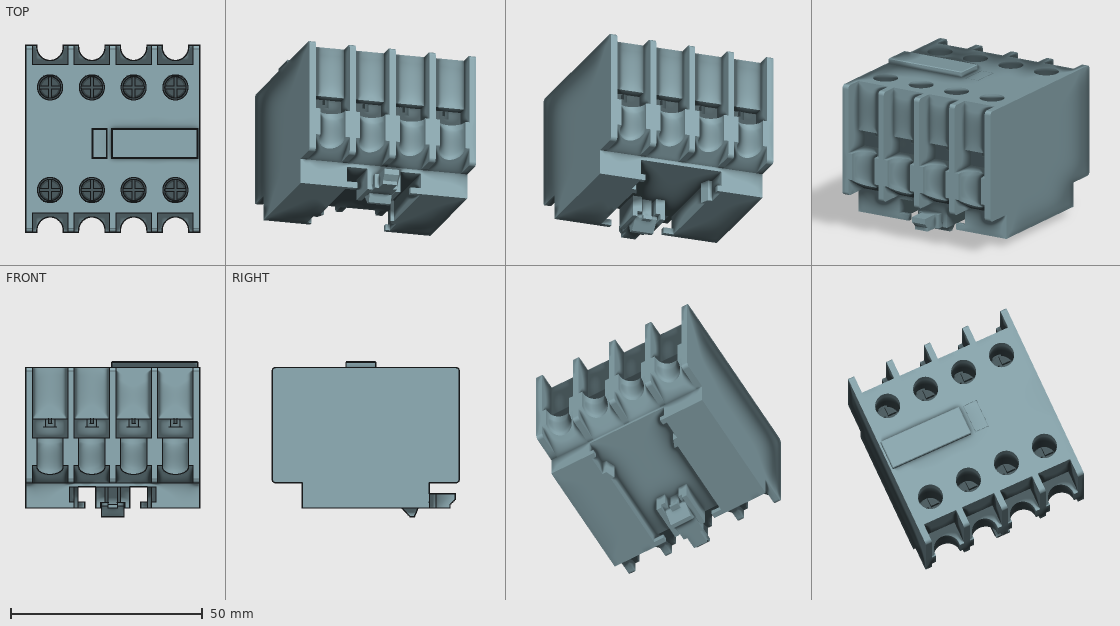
import cadquery as cq


WIDTH = 45.4
LENGTH = 48.8
BODY_BOTTOM = 6.6
BODY_TOP = 36.65
CORNER_RADIUS = 1.0
BASE_LENGTH = 33.1
FRONT = -LENGTH / 2
BASE_FRONT = -BASE_LENGTH / 2
BASE_BACK = BASE_LENGTH / 2

BAY_COUNT = 4
BAY_PITCH = 10.9
BAY_WIDTH = 9.2
BAY_DEPTH = 5.05
BAY_FLOOR = 18.25
CLAMP_DEPTH = 8.0
CLAMP_TOP = 23.3
SILL_BOTTOM = 11.1
WIRE_RADIUS = 3.4
WIRE_DEPTH = 4.0

SCREW_INSET = 11.05
WELL_RADIUS = 3.25
WELL_FLOOR = 21.2
SCREW_RADIUS = 2.8
SCREW_TOP = 23.9
SCREW_EDGE = 0.4
SLOT_WIDTH = 0.8
SLOT_FLOOR = 22.05

LABEL_LEFT = -0.3
LABEL_LENGTH = 22.45
LABEL_TOP = 38.15
LABEL_EDGE = 0.2
PANEL_WIDTH = 7.75
PANEL_Y = -1.25
INDICATOR_LEFT = -5.35
INDICATOR_LENGTH = 3.9
GROOVE = 0.2

CHANNEL_TOP = 5.55
LIP_TOP = 1.6
LIP_THICKNESS = 1.4
FRONT_HALF = 11.2
REAR_HALF = 10.05
THROAT_HALF = 9.05
REAR_LIP_HALF = 7.25
STEP_Y = -9.75
TAPER_LENGTH = 2.45

GUIDE_HALF = 4.5
GUIDE_FRONT = 6.85
NARROW_HALF = 2.0
NARROW_END = 11.7
WIDE_HALF = 3.15
WIDE_TOP = 1.4

BAR_HALF = 3.0
HOOK_BOTTOM = -2.25
HOOK_SHOULDER = 0.6
HOOK_FRONT = 8.85
HOOK_TIP_FRONT = 11.55
HOOK_TIP_BACK = 12.7
HOOK_BACK = 13.6
TONGUE_HALF = 1.2
TONGUE_FRONT = 8.3
NOSE_FRONT = 7.8
NOSE_TOP = 1.0
HANDLE_HALF = 1.95
HANDLE_TOP = 3.75
HANDLE_FRONT = 18.35
HANDLE_BACK = 23.38
HANDLE_TOE = 21.95
HANDLE_NOSE_BOTTOM = 2.3
HANDLE_TOE_TOP = 0.95


def box(x_min, x_max, y_min, y_max, z_min, z_max):
    size = (x_max - x_min, y_max - y_min, z_max - z_min)
    return cq.Workplane("XY").box(*size, centered=False).translate((x_min, y_min, z_min))


def side_prism(points, half_width):
    """Extrude a (y, z) outline symmetrically about the X centre plane."""
    return cq.Workplane("YZ").polyline(points).close().extrude(half_width, both=True)


def make_block():
    body = box(-WIDTH / 2, WIDTH / 2, FRONT, -FRONT, BODY_BOTTOM, BODY_TOP)
    body = body.edges("|X").fillet(CORNER_RADIUS)
    return body.union(box(-WIDTH / 2, WIDTH / 2, BASE_FRONT, BASE_BACK, 0, BODY_BOTTOM + CORNER_RADIUS))


def make_bay_cut():
    """Everything removed for one front terminal, centred on x = 0."""
    half = BAY_WIDTH / 2
    bay = box(-half, half, FRONT, FRONT + BAY_DEPTH, BAY_FLOOR, BODY_TOP)
    clamp = box(-half, half, FRONT, FRONT + CLAMP_DEPTH, BAY_FLOOR, CLAMP_TOP)
    underside = side_prism(
        [(FRONT, BODY_BOTTOM), (BASE_FRONT, BODY_BOTTOM), (FRONT, SILL_BOTTOM)], half
    )
    wire_centre = FRONT + WIRE_DEPTH - WIRE_RADIUS
    wire = (
        cq.Workplane("XY", origin=(0, 0, BODY_BOTTOM))
        .moveTo(-WIRE_RADIUS, FRONT)
        .lineTo(-WIRE_RADIUS, wire_centre)
        .threePointArc((0, FRONT + WIRE_DEPTH), (WIRE_RADIUS, wire_centre))
        .lineTo(WIRE_RADIUS, FRONT)
        .close()
        .extrude(BAY_FLOOR - BODY_BOTTOM)
    )
    well = (
        cq.Workplane("XY", origin=(0, FRONT + SCREW_INSET, WELL_FLOOR))
        .circle(WELL_RADIUS)
        .extrude(BODY_TOP - WELL_FLOOR)
    )
    return bay.union(clamp).union(underside).union(wire).union(well)


def make_screw_head():
    """Cross-slotted head of one front terminal, centred on x = 0."""
    span = 2 * SCREW_RADIUS
    slot_depth = SCREW_TOP - SLOT_FLOOR
    head = (
        cq.Workplane("XY")
        .circle(SCREW_RADIUS)
        .extrude(SCREW_TOP - WELL_FLOOR)
        .faces(">Z")
        .edges()
        .fillet(SCREW_EDGE)
    )
    cross = cq.Workplane("XY", origin=(0, 0, SLOT_FLOOR - WELL_FLOOR))
    head = head.cut(cross.rect(span, SLOT_WIDTH).extrude(slot_depth))
    head = head.cut(cross.rect(SLOT_WIDTH, span).extrude(slot_depth))
    return head.translate((0, FRONT + SCREW_INSET, WELL_FLOOR))


def on_every_terminal(front_shape):
    """Copies of a front terminal shape at all front and back terminals."""
    back_shape = front_shape.mirror("XZ")
    copies = []
    for index in range(BAY_COUNT):
        x = (index - (BAY_COUNT - 1) / 2) * BAY_PITCH
        copies.append(front_shape.translate((x, 0, 0)))
        copies.append(back_shape.translate((x, 0, 0)))
    return copies


def panel(left, length, z_min, z_max, inset=0.0):
    half = PANEL_WIDTH / 2 - inset
    return box(left + inset, left + length - inset, PANEL_Y - half, PANEL_Y + half, z_min, z_max)


def make_label():
    label = panel(LABEL_LEFT, LABEL_LENGTH, BODY_TOP, LABEL_TOP)
    return label.faces(">Z").edges().chamfer(LABEL_EDGE)


def make_indicator_groove():
    groove_floor = BODY_TOP - GROOVE
    outer = panel(INDICATOR_LEFT, INDICATOR_LENGTH, groove_floor, BODY_TOP)
    return outer.cut(panel(INDICATOR_LEFT, INDICATOR_LENGTH, groove_floor, BODY_TOP, GROOVE))


def make_channel():
    """Channel through the base with a tapered throat, narrowed by low lips at both ends.

    The front lips reach in to the rear width of the channel.
    """
    taper_end = STEP_Y + TAPER_LENGTH
    half_plan = [
        (FRONT_HALF, BASE_FRONT),
        (FRONT_HALF, STEP_Y),
        (REAR_HALF, STEP_Y),
        (THROAT_HALF, taper_end),
        (REAR_HALF, taper_end),
        (REAR_HALF, BASE_BACK),
    ]
    mirrored = [(-x, y) for x, y in reversed(half_plan)]
    channel = cq.Workplane("XY").polyline(half_plan + mirrored).close().extrude(CHANNEL_TOP)
    front_lip_end = BASE_FRONT + LIP_THICKNESS
    rear_lip_start = BASE_BACK - LIP_THICKNESS
    for side in (-1, 1):
        front_x = sorted((side * REAR_HALF, side * FRONT_HALF))
        rear_x = sorted((side * REAR_LIP_HALF, side * REAR_HALF))
        channel = channel.cut(box(*front_x, BASE_FRONT, front_lip_end, 0, LIP_TOP))
        channel = channel.cut(box(*rear_x, rear_lip_start, BASE_BACK, 0, LIP_TOP))
    return channel


def make_guide():
    guide = box(-GUIDE_HALF, GUIDE_HALF, GUIDE_FRONT, BASE_BACK, 0, CHANNEL_TOP)
    wide_slot = box(-WIDE_HALF, WIDE_HALF, GUIDE_FRONT, BASE_BACK, 0, WIDE_TOP)
    narrow_slot = box(-NARROW_HALF, NARROW_HALF, GUIDE_FRONT, NARROW_END, 0, CHANNEL_TOP)
    return guide.cut(wide_slot).cut(narrow_slot)


def make_housing():
    housing = make_block()
    for bay_cut in on_every_terminal(make_bay_cut()):
        housing = housing.cut(bay_cut)
    for screw_head in on_every_terminal(make_screw_head()):
        housing = housing.union(screw_head)
    housing = housing.union(make_label())
    housing = housing.cut(make_indicator_groove())
    return housing.cut(make_channel()).union(make_guide())


def make_latch():
    """Slide bar with a locking hook below, a tongue in the guide and a handle at the back."""
    hook = [
        (HOOK_FRONT, WIDE_TOP),
        (HOOK_FRONT, HOOK_SHOULDER),
        (HOOK_TIP_FRONT, HOOK_BOTTOM),
        (HOOK_TIP_BACK, HOOK_BOTTOM),
        (HOOK_BACK, 0),
        (HANDLE_FRONT, 0),
        (HANDLE_FRONT, WIDE_TOP),
    ]
    handle = [
        (HANDLE_FRONT, 0),
        (HANDLE_TOE, 0),
        (HANDLE_TOE, HANDLE_TOE_TOP),
        (HANDLE_BACK, HANDLE_NOSE_BOTTOM),
        (HANDLE_BACK, HANDLE_TOP),
        (HANDLE_FRONT, HANDLE_TOP),
    ]
    tongue = box(-TONGUE_HALF, TONGUE_HALF, TONGUE_FRONT, NARROW_END, 0, CHANNEL_TOP)
    nose = box(-TONGUE_HALF, TONGUE_HALF, NOSE_FRONT, NARROW_END, 0, NOSE_TOP)
    neck = box(-BAR_HALF, BAR_HALF, BASE_BACK, HANDLE_FRONT, 0, HANDLE_TOP)
    latch = side_prism(hook, BAR_HALF).union(tongue).union(nose)
    return latch.union(neck).union(side_prism(handle, HANDLE_HALF))


housing = make_housing()
latch = make_latch()
result = cq.Compound.makeCompound([housing.solids().val(), latch.solids().val()])